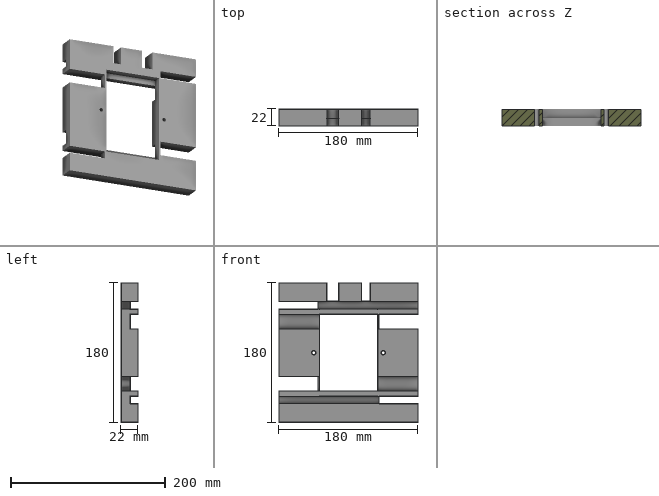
import cadquery as cq

side = 180.0
thickness = 22.0
groove_depth = 9.9
half_side = side / 2
front = -thickness / 2
groove_floor = front + groove_depth
back = thickness / 2

pad_top = 30.8
rail_inner = 49.3
rail_outer = 56.3
bar_inner = 65.9

window_half_width = 37.5
recess_half_height = 56.2
rail_depth = 10.0
slit_end = 39.6
hole_spacing = 89.6
hole_diameter = 5.0

notch_floor = 66.8
notch_spans = [(-27.9, -12.8), (17.0, 27.9)]


def block(x_span, y_span, z_span):
    """Box filling the three given spans, each as (low, high)."""
    size = [high - low for low, high in (x_span, y_span, z_span)]
    corner = (x_span[0], y_span[0], z_span[0])
    return cq.Workplane("XY").box(*size, centered=False).translate(corner)


full_width = (-half_side, half_side)
full_depth = (front, back)
front_depth = (front, groove_floor)

frame = block(full_width, full_depth, full_width)

frame = frame.cut(
    block((-window_half_width, window_half_width), full_depth, (-rail_inner, rail_inner))
)

recess_depth_span = (front + rail_depth, back)
recess_height_span = (-recess_half_height, recess_half_height)
frame = frame.cut(
    block((-window_half_width, window_half_width), recess_depth_span, recess_height_span)
)

for low, high in [(pad_top, rail_inner), (rail_outer, bar_inner)]:
    frame = frame.cut(block(full_width, front_depth, (low, high)))
    frame = frame.cut(block(full_width, front_depth, (-high, -low)))

left_span = (-half_side, -slit_end)
right_span = (slit_end, half_side)
slits = [
    (left_span, (rail_outer, bar_inner)),
    (right_span, (pad_top, rail_inner)),
    (left_span, (-rail_inner, -pad_top)),
    (right_span, (-bar_inner, -rail_outer)),
]
for x_span, z_span in slits:
    frame = frame.cut(block(x_span, full_depth, z_span))

for x_span in notch_spans:
    frame = frame.cut(block(x_span, full_depth, (notch_floor, half_side)))

holes = (
    cq.Workplane("XZ", origin=(0, back, 0))
    .rarray(hole_spacing, 1.8, 2, 1)
    .circle(hole_diameter / 2)
    .extrude(thickness)
)
result = frame.cut(holes)